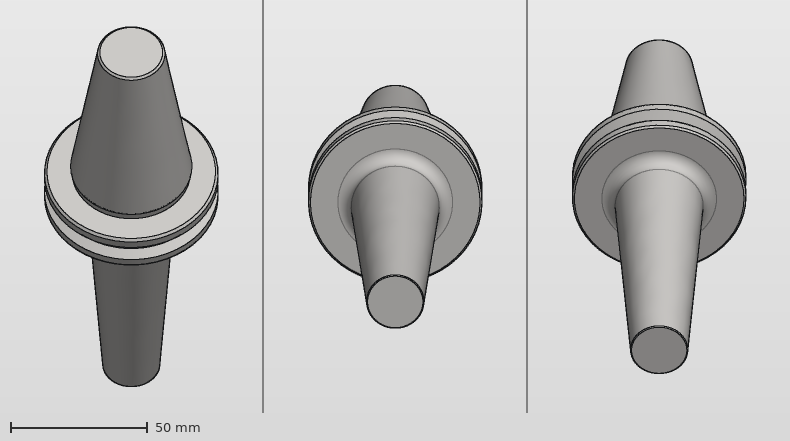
import cadquery as cq

total_length = 187.5
flange_bottom = 100.3
gauge_height = 119.0
flange_top = gauge_height - 3.2

gauge_radius = 22.22
shank_taper = 7 / 48
shank_top_chamfer = 0.8
relief_radius = 21.8

flange_radius = 63.5 / 2
groove_floor_radius = 28.1
groove_center = 108.0
groove_floor_width = 3.5
groove_mouth_width = 7.3
flange_top_chamfer = 1.0
flange_bottom_chamfer = 0.8

nose_tip_radius = 10.5
nose_root_radius = 16.1
nose_fillet = 4.9
nose_tip_chamfer = 0.4


def add_shank(outline):
    """Conical shank above the flange, with a short relief under the gauge line."""
    top_radius = gauge_radius - shank_taper * (total_length - gauge_height)
    chamfer_base = total_length - shank_top_chamfer
    chamfer_radius = top_radius + shank_taper * shank_top_chamfer
    return (
        outline.lineTo(relief_radius, flange_top)
        .lineTo(relief_radius, gauge_height)
        .lineTo(gauge_radius, gauge_height)
        .lineTo(chamfer_radius, chamfer_base)
        .lineTo(top_radius - shank_top_chamfer, total_length)
        .lineTo(0, total_length)
    )


def add_flange(outline):
    """Flange rim from its lower face to its upper face, including the groove."""
    return (
        outline.lineTo(flange_radius - flange_bottom_chamfer, flange_bottom)
        .lineTo(flange_radius, flange_bottom + flange_bottom_chamfer)
        .lineTo(flange_radius, groove_center - groove_mouth_width / 2)
        .lineTo(groove_floor_radius, groove_center - groove_floor_width / 2)
        .lineTo(groove_floor_radius, groove_center + groove_floor_width / 2)
        .lineTo(flange_radius, groove_center + groove_mouth_width / 2)
        .lineTo(flange_radius, flange_top - flange_top_chamfer)
        .lineTo(flange_radius - flange_top_chamfer, flange_top)
    )


def add_nose(outline):
    """Tapered nose from the tip up to the end of the fillet under the flange."""
    return (
        outline.lineTo(nose_tip_radius - nose_tip_chamfer, 0)
        .lineTo(nose_tip_radius, nose_tip_chamfer)
        .lineTo(nose_root_radius, flange_bottom - nose_fillet)
        .radiusArc((nose_root_radius + nose_fillet, flange_bottom), nose_fillet)
    )


half_section = cq.Workplane("XZ").moveTo(0, 0)
half_section = add_nose(half_section)
half_section = add_flange(half_section)
half_section = add_shank(half_section)
result = half_section.close().revolve(360, (0, 0, 0), (0, 1, 0))